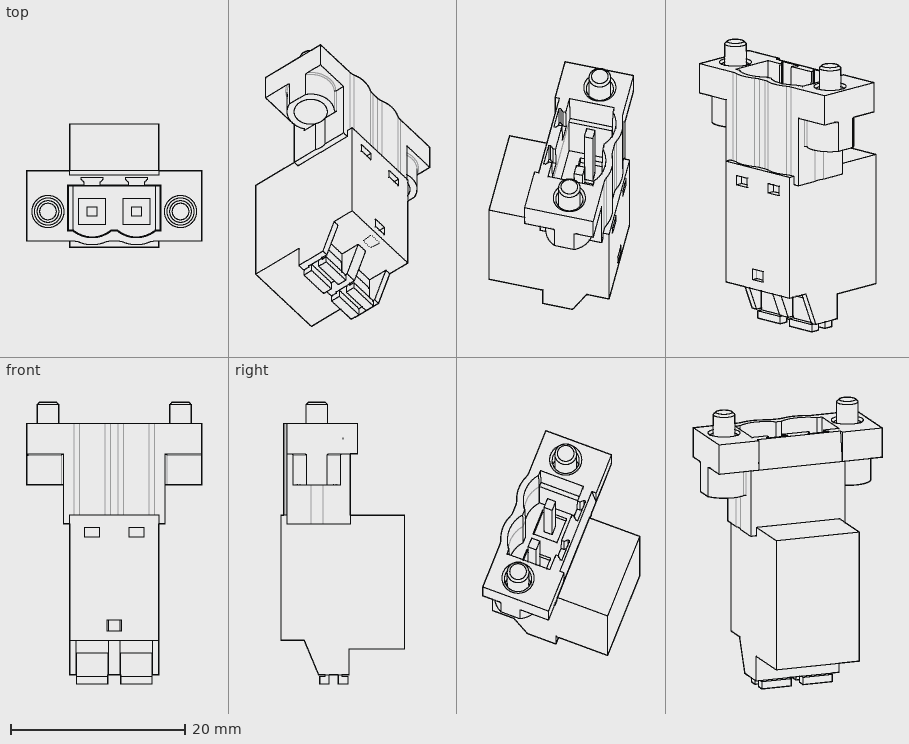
import cadquery as cq
import math


pole_pitch = 5.1
pole_xs = (-pole_pitch / 2, pole_pitch / 2)

total_height = 32.4
flange_top = 29.95
flange_bottom = 26.45
boss_bottom = 22.87
block_top = 19.4
shroud_bottom = 18.4
block_front_bottom = 5.02
block_rear_bottom = 4.02
nose_bottom = 1.07

flange_length = 20.15
flange_back = 4.7
shroud_front = -3.4
shroud_width = 11.65
shroud_back = 3.85
relief_depth = 0.52

block_width = 10.27
block_front = -4.1
block_back = block_front + 14.2
nose_back = 3.73
nose_slope_top = -1.45
nose_slope_bottom = 0.2

cavity_width = 10.72
cavity_back = 3.05
cavity_front = -2.25
cavity_step_depth = 4.2
cavity_draft = 1.2
cavity_floor = block_top
lobe_half_width = 2.2
lobe_depth = 0.78
lower_cavity_half_width = pole_pitch / 2 + lobe_half_width
draft_inset = cavity_step_depth * math.tan(math.radians(cavity_draft))

rib_height = 0.42
rib_radius = 3.82
rib_center_y = shroud_front - rib_height + rib_radius
rib_root_fillet = 1.62

slot_back = 3.92
slot_neck_y = 3.37
slot_wide_y = 3.7
slot_outer_width = 2.53
slot_neck_width = 1.85
slot_depth = 3.15

well_size = (3.08, 2.95)
well_depth = 0.97
pin_size = (1.15, 1.0)
pin_top = 27.85
pin_seat_depth = 0.97
pin_bottom = cavity_floor - well_depth - pin_seat_depth

screw_x = 7.6
boss_radius = 2.72
boss_fillet = 0.15
boss_backing = 0.32
screw_radius = 1.247
screw_chamfer = 0.3
screw_hole_radius = 1.55
head_radius = 1.9
countersink = 0.3

latch_window_width = 1.72
latch_window_bottom = 16.9
latch_window_height = 1.1
latch_window_depth = 0.85
center_window_width = 1.62
center_window_bottom = 6.12
center_window_height = 1.25
center_window_depth = 0.65
center_pocket_depth = 1.3
center_pocket_end_width = 1.33
center_pocket_drop = 0.97

lever_width = 3.63
lever_slot_width = 3.73
lever_front = 0.95
lever_back = 2.9
lever_top = 3.55
foot_front = 0.32
foot_back = 3.6
foot_height = 0.87
foot_gap_front = 1.43
foot_gap_back = 2.45


def box(x_min, x_max, y_min, y_max, z_min, z_max):
    """Axis-aligned box between two corners."""
    size = (x_max - x_min, y_max - y_min, z_max - z_min)
    return cq.Workplane("XY").box(*size, centered=False).translate((x_min, y_min, z_min))


def centered_box(center_x, width, y_min, y_max, z_min, z_max):
    """Box that is symmetric about center_x."""
    return box(center_x - width / 2, center_x + width / 2, y_min, y_max, z_min, z_max)


def cylinder(x, radius, z_min, z_max):
    """Upright cylinder on the Y = 0 line."""
    return cq.Workplane("XY", origin=(x, 0, z_min)).circle(radius).extrude(z_max - z_min)


def flange_and_shroud():
    """T-shaped upper part: the screw flange above the socket shroud."""
    flange = centered_box(0, flange_length, shroud_front, flange_back, flange_bottom, flange_top)
    shroud = centered_box(0, shroud_width, shroud_front, shroud_back, shroud_bottom, flange_top)
    body = flange.union(shroud)
    for side in (-1, 1):
        body = body.union(screw_boss(side))
    return body.cut(flange_relief())


def screw_boss(side):
    """Round boss below the flange, cut flat at the flange end and flared where it joins the rest."""
    wall_x = side * shroud_width / 2
    inner_x = side * (shroud_width / 2 - boss_backing)
    end_x = side * flange_length / 2
    x_min, x_max = sorted((inner_x, end_x))
    wall_x_min, wall_x_max = sorted((inner_x, wall_x))
    root_top = flange_bottom + boss_backing
    flange_root = box(x_min, x_max, shroud_front, shroud_back, flange_bottom, root_top)
    wall_root = box(wall_x_min, wall_x_max, shroud_front, shroud_back, boss_bottom, root_top)
    reach = box(x_min, x_max, -boss_radius, boss_radius, boss_bottom, root_top)
    boss = cylinder(side * screw_x, boss_radius, boss_bottom, root_top).intersect(reach)
    body = flange_root.union(wall_root).union(boss)
    flange_seam = cq.selectors.BoxSelector(
        (x_min, -flange_length, flange_bottom - 0.03), (x_max, flange_length, flange_bottom + 0.03)
    )
    wall_seam = cq.selectors.BoxSelector(
        (wall_x - 0.03, -boss_radius, boss_bottom), (wall_x + 0.03, boss_radius, flange_bottom)
    )
    seams = body.edges("%CIRCLE").edges(flange_seam).add(body.edges("|Z").edges(wall_seam))
    return seams.fillet(boss_fillet)


def flange_relief():
    """Wedge that slopes the back of the flange across the block width."""
    return (
        cq.Workplane("YZ")
        .moveTo(flange_back - relief_depth, flange_top)
        .lineTo(flange_back, flange_top)
        .lineTo(flange_back, flange_bottom)
        .close()
        .extrude(block_width / 2, both=True)
    )


def front_rib(pole_x):
    """Rounded rib on the shroud front, blended into the flat wall by concave arcs."""
    center_drop = rib_center_y - shroud_front
    root_drop = center_drop + rib_root_fillet
    root_x = math.sqrt((rib_radius + rib_root_fillet) ** 2 - root_drop**2)
    blend = rib_radius / (rib_radius + rib_root_fillet)
    tangent = (root_x * blend, rib_center_y - root_drop * blend)
    half_angle = math.atan2(root_x, root_drop) / 2
    root_mid = (
        root_x - rib_root_fillet * math.sin(half_angle),
        shroud_front - rib_root_fillet + rib_root_fillet * math.cos(half_angle),
    )
    inside = shroud_front + 0.32
    return (
        cq.Workplane("XY", origin=(pole_x, 0, shroud_bottom))
        .moveTo(-root_x, inside)
        .lineTo(-root_x, shroud_front)
        .threePointArc((-root_mid[0], root_mid[1]), (-tangent[0], tangent[1]))
        .threePointArc((0, rib_center_y - rib_radius), tangent)
        .threePointArc(root_mid, (root_x, shroud_front))
        .lineTo(root_x, inside)
        .close()
        .extrude(flange_top - shroud_bottom)
    )


def wire_block():
    """Lower block with a tapered nose, as one side profile."""
    profile = [
        (block_front, block_top),
        (block_back, block_top),
        (block_back, block_rear_bottom),
        (nose_back, block_rear_bottom),
        (nose_back, nose_bottom),
        (nose_slope_bottom, nose_bottom),
        (nose_slope_top, block_front_bottom),
        (block_front, block_front_bottom),
    ]
    return cq.Workplane("YZ").polyline(profile).close().extrude(block_width / 2, both=True)


def cavity_outline(z, half_width, inset):
    """Socket outline with one rounded lobe per pole, its straight sides set in by inset."""
    front = cavity_front + inset
    lobe_half = lobe_half_width - inset / 2
    lobe_front = cavity_front - lobe_depth + inset
    outline = cq.Workplane("XY", origin=(0, 0, z)).moveTo(-half_width, cavity_back - inset)
    outline = outline.lineTo(-half_width, front)
    for x in pole_xs:
        outline = outline.lineTo(x - lobe_half, front)
        outline = outline.threePointArc((x, lobe_front), (x + lobe_half, front))
    return outline.lineTo(half_width, front).lineTo(half_width, cavity_back - inset).close()


def mating_cavity():
    """Drafted mouth over a narrower straight socket, with a well around each pin."""
    step_z = flange_top - cavity_step_depth
    mouth_wires = [
        cavity_outline(flange_top, cavity_width / 2, 0).wires().val(),
        cavity_outline(step_z, cavity_width / 2 - draft_inset, draft_inset).wires().val(),
    ]
    cavity = cq.Workplane(cq.Solid.makeLoft(mouth_wires, True))
    socket_outline = cavity_outline(cavity_floor, lower_cavity_half_width, draft_inset)
    cavity = cavity.union(socket_outline.extrude(step_z - cavity_floor))
    for x in pole_xs:
        well = cq.Workplane("XY", origin=(x, 0, cavity_floor)).rect(*well_size).extrude(-well_depth)
        cavity = cavity.union(well)
    return cavity


def coding_slot(pole_x):
    """Dovetail slot open to the cavity and to the flange top."""
    outer = slot_outer_width / 2
    neck = slot_neck_width / 2
    open_y = cavity_back - draft_inset - 0.03
    profile = [
        (-outer, slot_back),
        (outer, slot_back),
        (outer, slot_wide_y),
        (neck, slot_neck_y),
        (neck, open_y),
        (-neck, open_y),
        (-neck, slot_neck_y),
        (-outer, slot_wide_y),
    ]
    return cq.Workplane("XY", origin=(pole_x, 0, flange_top)).polyline(profile).close().extrude(-slot_depth)


def center_window():
    """Shallow window that opens into a deeper pocket with converging sides."""
    z_top = center_window_bottom + center_window_height
    pocket_bottom = center_window_bottom - center_pocket_drop
    pocket_start = block_front + center_window_depth
    pocket_end = pocket_start + center_pocket_depth
    window = centered_box(0, center_window_width, block_front, pocket_start, center_window_bottom, z_top)
    pocket = (
        cq.Workplane("XY", origin=(0, 0, pocket_bottom))
        .moveTo(-center_window_width / 2, pocket_start)
        .lineTo(center_window_width / 2, pocket_start)
        .lineTo(center_pocket_end_width / 2, pocket_end)
        .lineTo(-center_pocket_end_width / 2, pocket_end)
        .close()
        .extrude(z_top - pocket_bottom)
    )
    return window.union(pocket)


def latch_window(pole_x):
    """Plain rectangular recess in the block front."""
    z_top = latch_window_bottom + latch_window_height
    y_end = block_front + latch_window_depth
    return centered_box(pole_x, latch_window_width, block_front, y_end, latch_window_bottom, z_top)


def lever_slot(pole_x):
    """Slot in the nose slope that bares the front of a lever."""
    return centered_box(
        pole_x, lever_slot_width, nose_slope_top, lever_front, nose_bottom, block_front_bottom
    )


def screw_hole(x):
    """Countersunk clearance hole in the flange, above the screw head."""
    hole = cylinder(x, screw_hole_radius, flange_bottom, flange_top)
    cone = cq.Solid.makeCone(
        screw_hole_radius,
        screw_hole_radius + countersink,
        countersink,
        pnt=cq.Vector(x, 0, flange_top - countersink),
    )
    return hole.union(cq.Workplane(cone))


def make_screw(x):
    """Flange screw: a head in the boss and a chamfered shank above it."""
    head = cylinder(x, head_radius, boss_bottom, flange_bottom)
    shank = cylinder(x, screw_radius, flange_bottom, total_height).faces(">Z").chamfer(screw_chamfer)
    return head.union(shank)


def make_pin(x):
    """Square contact pin seated in the bottom of its well."""
    return cq.Workplane("XY", origin=(x, 0, pin_bottom)).rect(*pin_size).extrude(pin_top - pin_bottom)


def make_lever(x):
    """Release lever: a block in the nose on two outward-hooked feet."""
    body = centered_box(x, lever_width, lever_front, lever_back, nose_bottom, lever_top)
    neck = centered_box(x, lever_width, lever_front, lever_back, 0, nose_bottom)
    feet = centered_box(x, lever_width, foot_front, foot_back, 0, foot_height)
    gap = centered_box(x, lever_width, foot_gap_front, foot_gap_back, 0, nose_bottom)
    return body.union(neck.union(feet).cut(gap))


def make_housing(inserts):
    """Housing with its cavity, windows, slots and a matching seat for every insert."""
    housing = flange_and_shroud().union(wire_block())
    for x in pole_xs:
        housing = housing.union(front_rib(x))
    housing = housing.cut(mating_cavity()).cut(center_window())
    for x in pole_xs:
        housing = housing.cut(coding_slot(x)).cut(latch_window(x)).cut(lever_slot(x))
    for x in (-screw_x, screw_x):
        driver_groove = cylinder(x, head_radius, shroud_bottom, boss_bottom)
        housing = housing.cut(driver_groove).cut(screw_hole(x))
    for insert in inserts:
        housing = housing.cut(insert)
    return housing


screws = [make_screw(x) for x in (-screw_x, screw_x)]
pins = [make_pin(x) for x in pole_xs]
levers = [make_lever(x) for x in pole_xs]
inserts = screws + pins + levers
housing = make_housing(inserts)

result = cq.Compound.makeCompound([housing.val(), *[insert.val() for insert in inserts]])